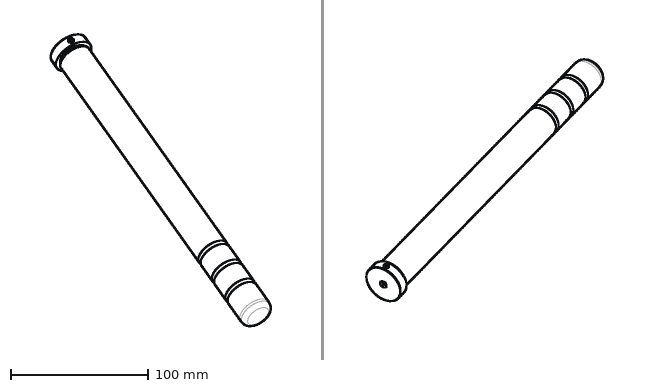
import cadquery as cq

length = 280.0
head_diameter = 30.0
head_length = 8.0
head_chamfer = 0.3
shaft_diameter = 25.0

relief_length = 1.7
relief_depth = 0.8

groove_count = 3
groove_pitch = 20.0
last_groove_to_end = 25.0
groove_width = 3.5
groove_depth = 0.8

taper_length = 2.0
taper_depth = 0.3
nose_radius = 3.5

hole_depth = 7.0
center_hole_diameter = 2.8
center_sink_diameter = 5.5
side_hole_diameter = 2.5
side_sink_diameter = 4.5

head_radius = head_diameter / 2
shaft_radius = shaft_diameter / 2
shaft_start = head_length + relief_length


def make_pin():
    """Revolve the half profile of the head, relief, shaft and grooves about X."""
    relief_radius = shaft_radius - relief_depth
    profile = (
        cq.Workplane("XY")
        .moveTo(0, 0)
        .lineTo(0, head_radius - head_chamfer)
        .lineTo(head_chamfer, head_radius)
        .lineTo(head_length, head_radius)
        .lineTo(head_length, relief_radius)
        .lineTo(shaft_start, relief_radius)
        .lineTo(shaft_start, shaft_radius)
    )
    first_groove = length - last_groove_to_end - (groove_count - 1) * groove_pitch
    for index in range(groove_count):
        center = first_groove + index * groove_pitch
        profile = profile.lineTo(center - groove_width / 2, shaft_radius).threePointArc(
            (center, shaft_radius - groove_depth),
            (center + groove_width / 2, shaft_radius),
        )
    taper_end_radius = shaft_radius - taper_depth
    profile = (
        profile.lineTo(length - nose_radius - taper_length, shaft_radius)
        .lineTo(length - nose_radius, taper_end_radius)
        .radiusArc((length, taper_end_radius - nose_radius), nose_radius)
        .lineTo(length, 0)
        .close()
    )
    return profile.revolve(360, (0, 0, 0), (1, 0, 0))


def countersunk_hole(start, direction, diameter, sink_diameter):
    """Blind hole with a 90 degree countersink that opens at the start point."""
    origin = cq.Vector(*start)
    axis = cq.Vector(*direction)
    bore = cq.Solid.makeCylinder(diameter / 2, hole_depth, origin, axis)
    sink_depth = (sink_diameter - diameter) / 2
    sink = cq.Solid.makeCone(sink_diameter / 2, diameter / 2, sink_depth, origin, axis)
    return cq.Workplane(obj=bore.fuse(sink))


center_hole = countersunk_hole((0, 0, 0), (1, 0, 0), center_hole_diameter, center_sink_diameter)
side_hole = countersunk_hole(
    (head_length / 2, 0, head_radius), (0, 0, -1), side_hole_diameter, side_sink_diameter
)

result = make_pin().cut(center_hole).cut(side_hole)